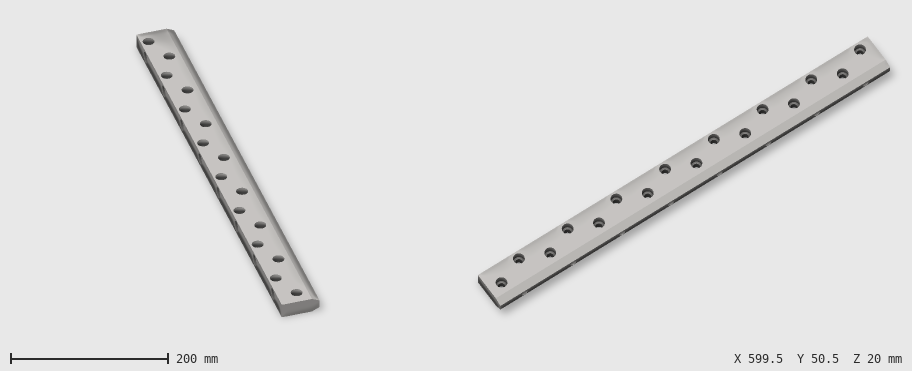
import cadquery as cq

length = 599.5
width = 50.5
height = 20.0

nose_depth = 10.0
nose_flat = 10.0

hole_count = 8
hole_diameter = 9.0
counterbore_diameter = 15.0
counterbore_depth = 10.0

pitch = length / hole_count
near_row_start = pitch / 4
side_row_start = pitch / 2
far_row_start = 3 * pitch / 4
near_row_y = 10.0
far_row_y = 26.0


def bar_with_nose():
    """Straight bar whose cross-section narrows symmetrically to a flat tip at +Y."""
    shoulder_y = width - nose_depth
    tip_low_z = (height - nose_flat) / 2
    tip_high_z = tip_low_z + nose_flat
    section = [
        (0, 0),
        (shoulder_y, 0),
        (width, tip_low_z),
        (width, tip_high_z),
        (shoulder_y, height),
        (0, height),
    ]
    return cq.Workplane("YZ").polyline(section).close().extrude(length)


def hole_row(start_x, y, z, direction, through_length):
    """Row of counterbored through-hole cutters entering at (y, z) along direction."""
    axis = cq.Vector(*direction)
    cutters = cq.Workplane()
    for index in range(hole_count):
        entry = cq.Vector(start_x + index * pitch, y, z)
        bore = cq.Solid.makeCylinder(hole_diameter / 2, through_length, entry, axis)
        head = cq.Solid.makeCylinder(counterbore_diameter / 2, counterbore_depth, entry, axis)
        cutters = cutters.add(bore).add(head)
    return cutters.combine()


down = (0, 0, -1)
inward = (0, 1, 0)

result = bar_with_nose()
result = result.cut(hole_row(near_row_start, near_row_y, height, down, height))
result = result.cut(hole_row(far_row_start, far_row_y, height, down, height))
result = result.cut(hole_row(side_row_start, 0, height / 2, inward, width))